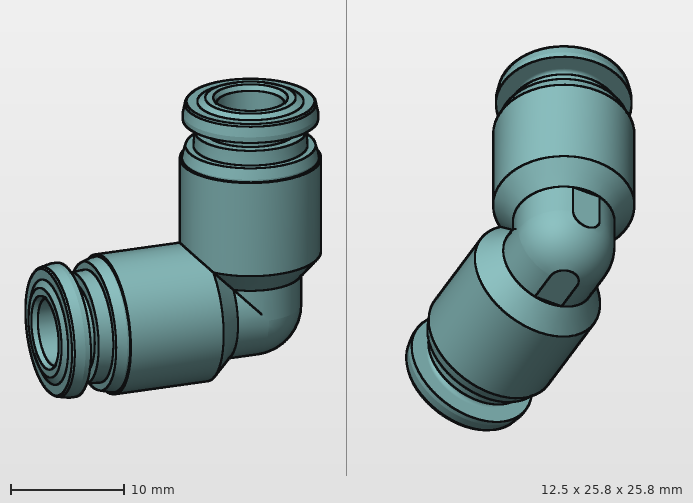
import cadquery as cq

ARM_LENGTH = 19.5

BODY_RADIUS = 12.5 / 2
ELBOW_RADIUS = 4.5
ELBOW_FLAT = 4.3
BODY_START = 5.0
TAPER_START = 2.95
BODY_END = 13.8

CAP_RADIUS = 6.05
CAP_STRAIGHT_END = 14.0
CAP_END = 15.0
CAP_END_RADIUS = 5.75

GUIDE_RADIUS = 5.05
GUIDE_END = 16.35
GUIDE_END_RADIUS = 4.95

NECK_RADIUS = 8.0 / 2
NECK_FILLET = 0.45
COLLAR_RADIUS = 12.0 / 2
COLLAR_START = 17.5
COLLAR_TAPER_START = 18.0
COLLAR_TAPER_END = 18.95
COLLAR_TAPER_RADIUS = 5.8
COLLAR_FACE = 19.15
COLLAR_FACE_RADIUS = 5.65
LIP_BASE_RADIUS = 4.7
LIP_TIP_RADIUS = 4.0

FLOW_RADIUS = 5.0 / 2
TUBE_RADIUS = 6.0 / 2
TUBE_STOP = BODY_START
MOUTH_RADIUS = 3.3
MOUTH_DEPTH = 0.5

ARC_MIDDLE = 0.5 ** 0.5


def arm_shell():
    """Outside of one arm, revolved about Z."""
    fillet_centre_radius = NECK_RADIUS + NECK_FILLET
    fillet_start = COLLAR_START - NECK_FILLET
    fillet_middle = (
        fillet_centre_radius - NECK_FILLET * ARC_MIDDLE,
        fillet_start + NECK_FILLET * ARC_MIDDLE,
    )
    return (
        cq.Workplane("XZ")
        .moveTo(0, 0)
        .lineTo(ELBOW_RADIUS, 0)
        .lineTo(ELBOW_RADIUS, TAPER_START)
        .lineTo(BODY_RADIUS, BODY_START)
        .lineTo(BODY_RADIUS, BODY_END)
        .lineTo(CAP_RADIUS, BODY_END)
        .lineTo(CAP_RADIUS, CAP_STRAIGHT_END)
        .lineTo(CAP_END_RADIUS, CAP_END)
        .lineTo(GUIDE_RADIUS, CAP_END)
        .lineTo(GUIDE_END_RADIUS, GUIDE_END)
        .lineTo(NECK_RADIUS, GUIDE_END)
        .lineTo(NECK_RADIUS, fillet_start)
        .threePointArc(fillet_middle, (fillet_centre_radius, COLLAR_START))
        .lineTo(COLLAR_RADIUS, COLLAR_START)
        .lineTo(COLLAR_RADIUS, COLLAR_TAPER_START)
        .lineTo(COLLAR_TAPER_RADIUS, COLLAR_TAPER_END)
        .lineTo(COLLAR_FACE_RADIUS, COLLAR_FACE)
        .lineTo(LIP_BASE_RADIUS, COLLAR_FACE)
        .lineTo(LIP_TIP_RADIUS, ARM_LENGTH)
        .lineTo(0, ARM_LENGTH)
        .close()
        .revolve(360, (0, 0, 0), (0, 1, 0))
    )


def arm_bore():
    """Stepped bore of one arm with a chamfered mouth, revolved about Z."""
    return (
        cq.Workplane("XZ")
        .moveTo(0, 0)
        .lineTo(FLOW_RADIUS, 0)
        .lineTo(FLOW_RADIUS, TUBE_STOP)
        .lineTo(TUBE_RADIUS, TUBE_STOP)
        .lineTo(TUBE_RADIUS, ARM_LENGTH - MOUTH_DEPTH)
        .lineTo(MOUTH_RADIUS, ARM_LENGTH)
        .lineTo(0, ARM_LENGTH)
        .close()
        .revolve(360, (0, 0, 0), (0, 1, 0))
    )


def both_arms(upright, corner_radius):
    """Join an upright arm, its copy turned to -Y, and a ball rounding the corner."""
    level = upright.rotate((0, 0, 0), (1, 0, 0), 90)
    corner = cq.Workplane("XY").sphere(corner_radius)
    return upright.union(level).union(corner)


def elbow_flat_cutter():
    """Block behind the elbow, below the taper of the upright arm."""
    depth = BODY_RADIUS - ELBOW_FLAT
    height = TAPER_START + BODY_RADIUS
    return (
        cq.Workplane("XY")
        .box(2 * BODY_RADIUS, depth, height, centered=(True, False, False))
        .translate((0, ELBOW_FLAT, -BODY_RADIUS))
    )


shell = both_arms(arm_shell(), ELBOW_RADIUS)
back_cutter = elbow_flat_cutter()
bottom_cutter = back_cutter.mirror("XY").rotate((0, 0, 0), (1, 0, 0), -90)
passage = both_arms(arm_bore(), FLOW_RADIUS)
result = shell.cut(back_cutter).cut(bottom_cutter).cut(passage)